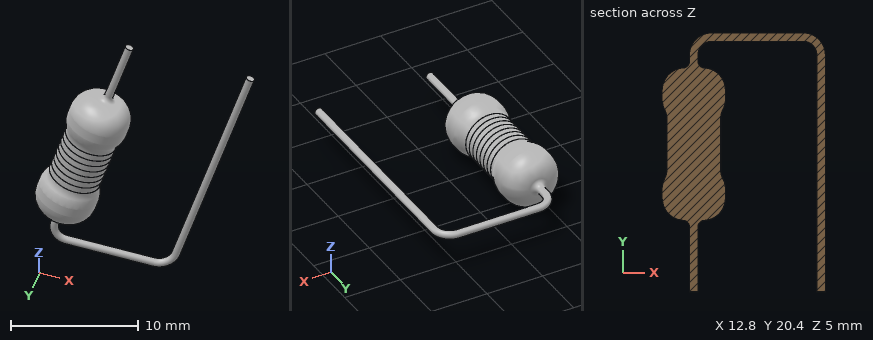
import cadquery as cq


body_length = 12.0
bulb_diameter = 5.0
waist_diameter = 4.25
waist_length = 4.0
bulb_inner = 3.45
bulb_outer = 4.25

band_count = 4
band_diameter = 4.27

lead_diameter = 0.7
collar_fillet = 0.5
lead_tail = 5.1
lead_stub = 0.5
lead_pitch = 10.0
bend_radius = 2 * lead_diameter

body_end = body_length / 2
bulb_radius = bulb_diameter / 2
waist_radius = waist_diameter / 2
lead_radius = lead_diameter / 2
collar_radius = lead_radius + collar_fillet
cap_height = body_end - bulb_outer
cap_inset = bulb_radius - collar_radius
cap_radius = (cap_height**2 + cap_inset**2) / (2 * cap_inset)
collar_end = body_end + collar_fillet
waist_end = waist_length / 2
shoulder_radius = (bulb_radius + waist_radius) / 2
shoulder_mid = (bulb_inner + waist_end) / 2
band_width = waist_length / (2 * band_count - 1)
lead_tip = -(collar_end + lead_tail)
bend_start = collar_end + lead_stub
lead_top = bend_start + bend_radius


def make_body():
    """Revolved body: collar, rounded cap, bulb, S-shaped shoulder and waist, then the same in reverse."""
    return (
        cq.Workplane("XY")
        .moveTo(0, -collar_end)
        .lineTo(lead_radius, -collar_end)
        .radiusArc((collar_radius, -body_end), collar_fillet)
        .radiusArc((bulb_radius, -bulb_outer), -cap_radius)
        .lineTo(bulb_radius, -bulb_inner)
        .tangentArcPoint((shoulder_radius, -shoulder_mid), relative=False)
        .tangentArcPoint((waist_radius, -waist_end), relative=False)
        .lineTo(waist_radius, waist_end)
        .tangentArcPoint((shoulder_radius, shoulder_mid), relative=False)
        .tangentArcPoint((bulb_radius, bulb_inner), relative=False)
        .lineTo(bulb_radius, bulb_outer)
        .radiusArc((collar_radius, body_end), -cap_radius)
        .radiusArc((lead_radius, collar_end), collar_fillet)
        .lineTo(0, collar_end)
        .close()
        .revolve(360, (0, 0, 0), (0, 1, 0))
    )


def make_band(start):
    """Colour band disc running from Y = start towards +Y."""
    return (
        cq.Workplane("XZ", origin=(0, start, 0))
        .circle(band_diameter / 2)
        .extrude(-band_width)
    )


def make_straight_lead():
    """Lower lead, running from its tip into the body."""
    return (
        cq.Workplane("XZ", origin=(0, lead_tip, 0))
        .circle(lead_radius)
        .extrude(lead_tip)
    )


def make_folded_lead():
    """Upper lead, bent twice so that it returns parallel to the body."""
    path = (
        cq.Workplane("XY")
        .lineTo(0, bend_start)
        .tangentArcPoint((bend_radius, lead_top), relative=False)
        .lineTo(lead_pitch - bend_radius, lead_top)
        .tangentArcPoint((lead_pitch, bend_start), relative=False)
        .lineTo(lead_pitch, lead_tip)
    )
    return cq.Workplane("XZ").circle(lead_radius).sweep(path)


result = make_body()
for index in range(band_count):
    result = result.union(make_band(-waist_end + 2 * index * band_width))
result = result.union(make_straight_lead()).union(make_folded_lead())